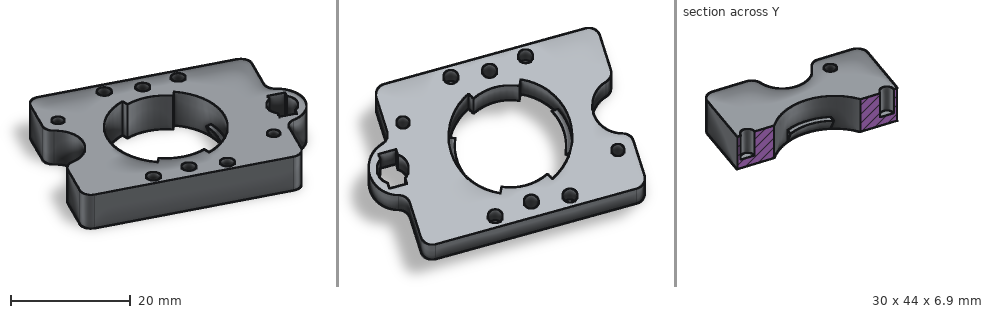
import cadquery as cq
import math

total_length = 44.0
plate_width = 30.0
thickness = 6.9
lobe_radius = 5.0
plate_length = total_length - lobe_radius
edge_radius = 2.0

bore_radius = 10.35
tongue_tip_radius = 9.15
side_tongue_half_angle = 26.0
back_ledge_half_angle = 25.0
front_ledge_width = 8.1
ledge_height = 2.5
ledge_tip_radius = 9.3
wall_overlap = 0.45

key_hole_diameter = 5.3
key_slot_width = 6.4
key_slot_height = 3.05
key_hole_offset = 1.0

corner_hole_diameter = 2.2
corner_hole_x = 7.48
corner_hole_y = 16.5
side_hole_diameter = 2.5
side_hole_x = 12.23
blind_hole_diameter = 2.5
blind_hole_x = 13.0
blind_hole_y = 6.5
blind_hole_depth = 5.0


def cylinder(radius):
    return cq.Workplane("XY").circle(radius).extrude(thickness)


def sector(half_angle, direction):
    """Triangular wedge from the bore centre, reaching beyond the bore wall."""
    reach = 2 * bore_radius
    corners = [(0, 0)]
    for angle in (direction - half_angle, direction + half_angle):
        turn = math.radians(angle)
        corners.append((reach * math.cos(turn), reach * math.sin(turn)))
    return cq.Workplane("XY").polyline(corners).close().extrude(thickness)


def make_plate():
    """Rounded plate with a round lobe at +Y and a matching notch at -Y."""
    half_length = plate_length / 2
    plate = cq.Workplane("XY").rect(plate_width, plate_length).extrude(thickness)
    lobe = cylinder(lobe_radius).translate((0, half_length, 0))
    notch = cylinder(lobe_radius).translate((0, -half_length, 0))
    outline = plate.union(lobe).cut(notch)
    return outline.edges("|Z").fillet(edge_radius)


def ring_section(points):
    """Ring around the bore axis from (radius, height) section corners."""
    return cq.Workplane("XZ").polyline(points).close().revolve(360, (0, 0, 0), (0, 1, 0))


def make_tongues():
    """Full-height tongues at +X and -X, undercut ledges at +Y and -Y."""
    outer_radius = bore_radius + wall_overlap
    tongue_ring = cylinder(outer_radius).cut(cylinder(tongue_tip_radius))
    ledge_ring = ring_section(
        [
            (bore_radius, 0),
            (ledge_tip_radius, ledge_height),
            (outer_radius, ledge_height),
            (outer_radius, 0),
        ]
    )
    side_wedges = sector(side_tongue_half_angle, 0).union(sector(side_tongue_half_angle, 180))
    front_block = (
        cq.Workplane("XY")
        .center(0, -bore_radius)
        .rect(front_ledge_width, bore_radius)
        .extrude(thickness)
    )
    ledge_wedges = sector(back_ledge_half_angle, 90).union(front_block)
    return tongue_ring.intersect(side_wedges).union(ledge_ring.intersect(ledge_wedges))


def make_key_hole():
    """Round hole with a rectangular cross slot, offset outward from the lobe centre."""
    slot = cq.Workplane("XY").rect(key_slot_width, key_slot_height).extrude(thickness)
    key_hole = cylinder(key_hole_diameter / 2).union(slot)
    return key_hole.translate((0, plate_length / 2 + key_hole_offset, 0))


def drill(body, points, diameter, depth=None):
    """Holes from the top face, right through unless a depth is given."""
    return body.faces(">Z").workplane(origin=(0, 0, 0)).pushPoints(points).hole(diameter, depth)


corner_hole_points = [(corner_hole_x, corner_hole_y), (-corner_hole_x, -corner_hole_y)]
side_hole_points = [(-side_hole_x, 0), (side_hole_x, 0)]
blind_hole_points = [(sx * blind_hole_x, sy * blind_hole_y) for sx in (-1, 1) for sy in (-1, 1)]

result = make_plate().cut(cylinder(bore_radius)).union(make_tongues()).cut(make_key_hole())
result = drill(result, corner_hole_points, corner_hole_diameter)
result = drill(result, side_hole_points, side_hole_diameter)
result = drill(result, blind_hole_points, blind_hole_diameter, blind_hole_depth)